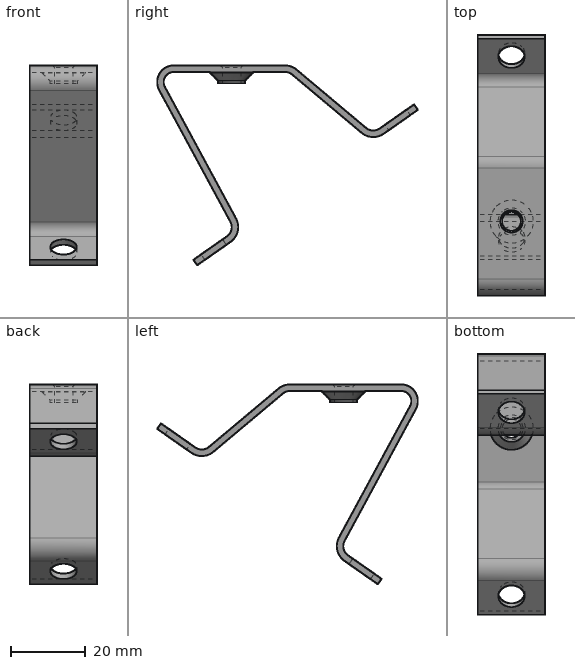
import cadquery as cq
import math

WIDTH = 18.0
THICKNESS = 1.8
BEND_RADIUS = 3.0
NOSE_BEND_RADIUS = 2.7

REAR_TOP_FLAT = 14.25
REAR_LEG_FLAT = 24.2
REAR_LEG_SLOPE = 40.0
REAR_FOOT_FLAT = 11.2

FRONT_TOP_FLAT = 15.35
FRONT_LEG_FLAT = 39.9
FRONT_LEG_SLOPE = 118.4
FRONT_FOOT_FLAT = 10.9

FOOT_RISE = 35.0

FOOT_HOLE_DIAMETER = 7.0
FOOT_HOLE_FROM_TIP = 6.0
CUTTER_REACH = 2 * THICKNESS

BUSHING_DEPTH = 4.8
COLLAR_DIAMETER = 7.3
COLLAR_HEIGHT = 0.7
FLARE_DIAMETER = 11.5
BORE_DIAMETER = 5.0
BORE_MOUTH_DIAMETER = 6.0


def turned(point, centre, degrees):
    """Rotate a 2D point clockwise about a centre."""
    angle = math.radians(-degrees)
    du = point[0] - centre[0]
    dv = point[1] - centre[1]
    u = centre[0] + du * math.cos(angle) - dv * math.sin(angle)
    v = centre[1] + du * math.sin(angle) + dv * math.cos(angle)
    return (u, v)


def moved(point, heading, distance):
    """Shift a 2D point along a heading given in degrees above horizontal."""
    angle = math.radians(heading)
    return (point[0] + distance * math.cos(angle), point[1] + distance * math.sin(angle))


def extruded(outline):
    """Side outline extruded symmetrically across the width of the strip."""
    return outline.extrude(WIDTH / 2, both=True)


def flat(start, heading, length):
    """Flat piece of strip whose upper edge begins at start; returns it and its far end."""
    end = moved(start, heading, length)
    corners = [start, end, moved(end, heading - 90, THICKNESS), moved(start, heading - 90, THICKNESS)]
    return extruded(cq.Workplane("YZ").polyline(corners).close()), end


def bend(start, heading, degrees, radius):
    """Bent piece of strip turning down by degrees (up if negative); returns it and its far end."""
    if degrees > 0:
        centre = moved(start, heading - 90, radius + THICKNESS)
    else:
        centre = moved(start, heading + 90, radius)
    lower = moved(start, heading - 90, THICKNESS)
    end = turned(start, centre, degrees)
    outline = (
        cq.Workplane("YZ")
        .moveTo(*start)
        .threePointArc(turned(start, centre, degrees / 2), end)
        .lineTo(*turned(lower, centre, degrees))
        .threePointArc(turned(lower, centre, degrees / 2), lower)
        .close()
    )
    return extruded(outline), end


def foot_hole(tip, heading):
    """Cutter through the foot, square to it, set back from the tip."""
    centre = moved(tip, heading, -FOOT_HOLE_FROM_TIP)
    upper_normal = math.radians(heading + 90)
    plane = cq.Plane(
        origin=(0, *centre),
        xDir=(1, 0, 0),
        normal=(0, math.cos(upper_normal), math.sin(upper_normal)),
    )
    return cq.Workplane(plane).circle(FOOT_HOLE_DIAMETER / 2).extrude(CUTTER_REACH, both=True)


def arm(top_flat, upper_radius, leg_slope, leg_flat, foot_slope, foot_flat):
    """Half of the strip, running from the origin towards +Y; slopes are degrees downward."""
    top, end = flat((0, 0), 0, top_flat)
    upper_bend, end = bend(end, 0, leg_slope, upper_radius)
    leg, end = flat(end, -leg_slope, leg_flat)
    lower_bend, end = bend(end, -leg_slope, foot_slope - leg_slope, BEND_RADIUS)
    foot, tip = flat(end, -foot_slope, foot_flat)
    strip = top.union(upper_bend).union(leg).union(lower_bend).union(foot)
    return strip.cut(foot_hole(tip, -foot_slope))


def bushing():
    """Collar with a 45 degree flare up to the strip, as a solid of revolution."""
    flare_height = (FLARE_DIAMETER - COLLAR_DIAMETER) / 2
    embedded_top = -THICKNESS / 2
    collar_top = COLLAR_HEIGHT - BUSHING_DEPTH
    return (
        cq.Workplane("XZ")
        .moveTo(0, -BUSHING_DEPTH)
        .lineTo(COLLAR_DIAMETER / 2, -BUSHING_DEPTH)
        .lineTo(COLLAR_DIAMETER / 2, collar_top)
        .lineTo(FLARE_DIAMETER / 2, collar_top + flare_height)
        .lineTo(FLARE_DIAMETER / 2, embedded_top)
        .lineTo(0, embedded_top)
        .close()
        .revolve(360, (0, 0), (0, 1))
    )


def bore():
    """Through bore of the bushing with a 45 degree chamfered mouth at the upper face."""
    chamfer = (BORE_MOUTH_DIAMETER - BORE_DIAMETER) / 2
    return (
        cq.Workplane("XZ")
        .lineTo(BORE_MOUTH_DIAMETER / 2, 0)
        .lineTo(BORE_DIAMETER / 2, -chamfer)
        .lineTo(BORE_DIAMETER / 2, -BUSHING_DEPTH)
        .lineTo(0, -BUSHING_DEPTH)
        .close()
        .revolve(360, (0, 0), (0, 1))
    )


rear_arm = arm(REAR_TOP_FLAT, BEND_RADIUS, REAR_LEG_SLOPE, REAR_LEG_FLAT, -FOOT_RISE, REAR_FOOT_FLAT)
front_half = arm(
    FRONT_TOP_FLAT, NOSE_BEND_RADIUS, FRONT_LEG_SLOPE, FRONT_LEG_FLAT, FOOT_RISE, FRONT_FOOT_FLAT
)
front_arm = front_half.mirror("XZ")

result = rear_arm.union(front_arm).union(bushing()).cut(bore()).clean()